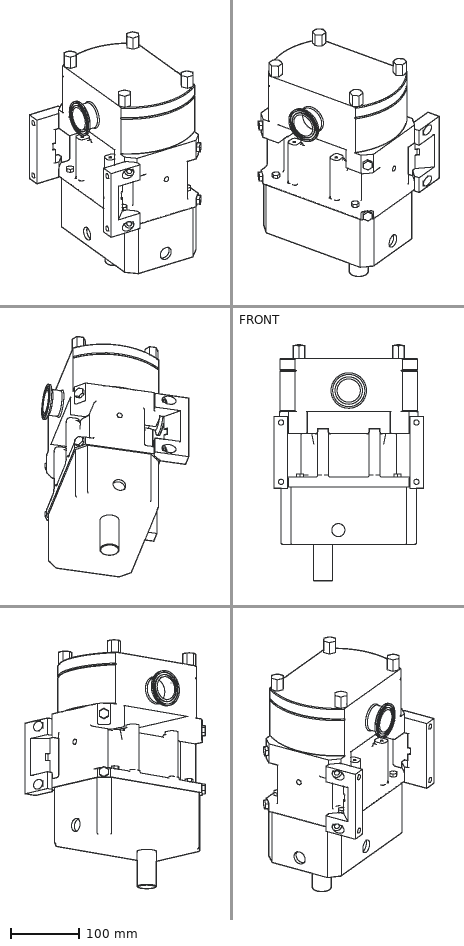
import cadquery as cq
import math

GEARBOX_BOTTOM = 53.3
HOUSING_BOTTOM = 137.8
LEDGE_Z = 152.0
DECK_Z = 216.0
RIB_TOP = 223.0
CASE_BOTTOM = 248.0
COVER_BOTTOM = 307.8
COVER_TOP = 325.8
NUT_TOP = 346.2

CASE_HALF_X = 101.0
CASE_FLAT_HALF_X = 78.5
CASE_EDGE = 1.5
BODY_HALF_Y = 129.0 / 2
HOUSING_HALF_X = 101.5
HOUSING_CORNER = 13.0
GEARBOX_HALF_X = 99.5
GEARBOX_HALF_Y = 62.5
GEARBOX_CORNER = 15.0
GEARBOX_EDGE_ROUND = 3.0

SHAFT_X = 37.7
BARREL_RADIUS = 50.0
POCKET_WALL_Y = 38.0
PANEL_TOP_Y = 47.0
PANEL_BOTTOM_Y = 51.0
GAP_HALF_X = 60.5
RIB_WIDTH = 16.0
RIB_LENGTH = 18.0
RIB_CORNER = 5.5
RIB_HOLE_RADIUS = 1.7
RIB_HOLE_DEPTH = 7.0
POCKET_ROUND = 2.95
DECK_ROUND = 2.0
POST_ROUND = 1.0

SHAFT_RADIUS = 28.0 / 2
SHAFT_CHAMFER = 1.0

NUT_X = 72.7
NUT_Y = 54.7
NUT_FLATS = 17.3
NUT_DOME_HEIGHT = 2.0
LEDGE_BOLT_X = 71.3
LEDGE_BOLT_Y = 55.7
LEDGE_BOLT_FLATS = 10.0
LEDGE_BOLT_HEIGHT = 5.0
CORNER_BOLT_FLATS = 13.0
CORNER_BOLT_HEIGHT = 4.5

PORT_Z = 278.7
PORT_END_Y = 87.0
PORT_BORE_RADIUS = 17.0
PORT_TUBE_RADIUS = 19.0
PORT_COLLAR_RADIUS = 20.5
PORT_COLLAR_LENGTH = 2.5
FERRULE_RADIUS = 26.0
FERRULE_RIM = 2.8
FERRULE_TAPER = 2.0
FERRULE_NECK_RADIUS = 20.8
FERRULE_NECK = 1.5
GROOVE_INNER_RADIUS = 20.0
GROOVE_OUTER_RADIUS = 23.5
GROOVE_DEPTH = 1.5

FOOT_OUTER_X = 219.0 / 2
FOOT_INNER_X = 89.3
FOOT_FRONT_Y = 102.0
FOOT_BOTTOM = 135.5
FOOT_TOP = 241.0
WINDOW_BOTTOM = 160.5
WINDOW_TOP = 216.0
WINDOW_FRONT_Y = 89.5
NOTCH_DEPTH = 4.5
NOTCH_BOTTOM = 183.0
NOTCH_TOP = 193.2
FOOT_BOLT_HEIGHTS = (145.0, 232.0)
FOOT_HOLE_X = 99.0
FOOT_HOLE_RADIUS = 3.8
FOOT_HOLE_DEPTH = 14.0
COUNTERBORE_RADIUS = 14.2 / 2
COUNTERBORE_FLOOR = 12.8
FOOT_BOLT_HOLE_RADIUS = 7.3 / 2

GEARBOX_PLUG_Z = 74.5
GEARBOX_PLUG_X = -15.2
GEARBOX_PLUG_RADIUS = 19.0 / 2
GEARBOX_PLUG_DEPTH = 5.5
SIDE_HOLE_Z = 198.5
SIDE_HOLE_RADIUS = 3.8
SIDE_HOLE_DEPTH = 10.5
DRILL_POINT_ANGLE = math.radians(59)

TOLERANCE = 0.05
SIDES = (-1, 1)
CORNERS = [(sx, sy) for sx in SIDES for sy in SIDES]


def prism(sketch, bottom, top):
    """Extrude an XY outline between two heights."""
    return sketch.extrude(top - bottom).translate((0, 0, bottom))


def block(x0, x1, y0, y1, z0, z1):
    return cq.Workplane("XY").box(x1 - x0, y1 - y0, z1 - z0, centered=False).translate((x0, y0, z0))


def hex_prism(flats, height):
    """Hexagon standing on Z = 0 with two flats facing +X and -X."""
    across_corners = flats / math.cos(math.pi / 6)
    return cq.Workplane("XY").polygon(6, across_corners).extrude(height).rotate((0, 0, 0), (0, 0, 1), 30)


def cylinder(start, direction, radius, length):
    return cq.Workplane(cq.Solid.makeCylinder(radius, length, cq.Vector(*start), cq.Vector(*direction)))


def drilled_hole(start, direction, radius, depth):
    """Blind hole that ends in a conical drill point."""
    origin = cq.Vector(*start)
    axis = cq.Vector(*direction)
    point_length = radius / math.tan(DRILL_POINT_ANGLE)
    point = cq.Solid.makeCone(radius, 0, point_length, origin + axis * depth, axis)
    return cylinder(start, direction, radius, depth).union(cq.Workplane(point))


def gearbox():
    outline = cq.Workplane("XY").rect(2 * GEARBOX_HALF_X, 2 * GEARBOX_HALF_Y)
    body = prism(outline, GEARBOX_BOTTOM, HOUSING_BOTTOM).edges("|Z").chamfer(GEARBOX_CORNER)
    body = body.faces("<Z").edges().fillet(GEARBOX_EDGE_ROUND)
    front = (GEARBOX_PLUG_X, -GEARBOX_HALF_Y, GEARBOX_PLUG_Z)
    body = body.cut(cylinder(front, (0, 1, 0), GEARBOX_PLUG_RADIUS, GEARBOX_PLUG_DEPTH))
    for side in SIDES:
        start = (side * GEARBOX_HALF_X, 0, GEARBOX_PLUG_Z)
        body = body.cut(cylinder(start, (-side, 0, 0), GEARBOX_PLUG_RADIUS, GEARBOX_PLUG_DEPTH))
    return body


def drive_shaft():
    shaft = cq.Workplane("XY").center(-SHAFT_X, 0).circle(SHAFT_RADIUS).extrude(GEARBOX_BOTTOM)
    return shaft.faces("<Z").chamfer(SHAFT_CHAMFER)


def housing_block(bottom, top):
    outline = cq.Workplane("XY").rect(2 * HOUSING_HALF_X, 2 * BODY_HALF_Y)
    return prism(outline, bottom, top).edges("|Z").chamfer(HOUSING_CORNER)


def bearing_core():
    """Two bearing barrels with a web between them, trimmed by the two leaning panels."""
    core = block(-SHAFT_X, SHAFT_X, -BODY_HALF_Y, BODY_HALF_Y, LEDGE_Z, DECK_Z)
    for side in SIDES:
        barrel = cq.Workplane("XY").center(side * SHAFT_X, 0).circle(BARREL_RADIUS)
        core = core.union(prism(barrel, LEDGE_Z, DECK_Z))
    panels = (
        cq.Workplane("YZ")
        .polyline(
            [
                (-PANEL_BOTTOM_Y, LEDGE_Z),
                (PANEL_BOTTOM_Y, LEDGE_Z),
                (PANEL_TOP_Y, DECK_Z),
                (-PANEL_TOP_Y, DECK_Z),
            ]
        )
        .close()
        .extrude(HOUSING_HALF_X, both=True)
    )
    core = core.intersect(panels).faces(">Z").edges().fillet(DECK_ROUND)
    wall = block(-HOUSING_HALF_X, HOUSING_HALF_X, -POCKET_WALL_Y, POCKET_WALL_Y, LEDGE_Z, DECK_Z)
    return core.union(wall)


def rib_outline(length):
    """Rectangle that reaches inwards from the middle of a rib's outer face."""
    return cq.Workplane("XY").center(0, -length / 2).rect(RIB_WIDTH, length)


def at_ribs(body):
    """Copies of a body, modelled with the rib's outer face at Y = 0, at all four ribs."""
    copies = cq.Workplane("XY")
    for sx, sy in CORNERS:
        turn = 0 if sy > 0 else 180
        turned = body.rotate((0, 0, 0), (0, 0, 1), turn)
        copies = copies.union(turned.translate((sx * SHAFT_X, sy * BODY_HALF_Y, 0)))
    return copies


def rib_trimmings():
    """Material outside a rib's round corners, and the hole in its top."""
    foot_top = LEDGE_Z + POCKET_ROUND
    outer_corners = prism(rib_outline(RIB_CORNER), foot_top, RIB_TOP)
    all_corners = prism(rib_outline(RIB_LENGTH), DECK_Z + POCKET_ROUND, RIB_TOP)
    rounded = prism(rib_outline(RIB_LENGTH), foot_top, RIB_TOP).edges("|Z").fillet(RIB_CORNER)
    hole = cylinder((0, -RIB_WIDTH / 2, RIB_TOP), (0, 0, -1), RIB_HOLE_RADIUS, RIB_HOLE_DEPTH)
    return outer_corners.union(all_corners).cut(rounded).union(hole)


def edges_where(body, test):
    """Edges whose middle point passes the test."""
    return body.newObject([edge for edge in body.edges().vals() if test(edge.positionAt(0.5))])


def near(value, target):
    return abs(value - target) < TOLERANCE


def on_flat_side(point):
    return near(abs(point.x), HOUSING_HALF_X) or near(abs(point.y), BODY_HALF_Y)


def on_corner_chamfer(point):
    return near(abs(point.x) + abs(point.y), HOUSING_HALF_X + BODY_HALF_Y - HOUSING_CORNER)


def is_pocket_inner_edge(point):
    """Edges around the pocket floors, and where the ribs leave the core."""
    on_floor = near(point.z, LEDGE_Z)
    beside_rib = (
        near(abs(abs(point.x) - SHAFT_X), RIB_WIDTH / 2)
        and LEDGE_Z < point.z < DECK_Z - DECK_ROUND
        and PANEL_TOP_Y - DECK_ROUND < abs(point.y) < PANEL_BOTTOM_Y
    )
    on_outside = on_flat_side(point) or on_corner_chamfer(point)
    return not on_outside and (on_floor or beside_rib)


def is_pocket_rim_edge(point):
    """Outer edges around the pocket openings, from the ledges up to the deck."""
    return on_flat_side(point) and LEDGE_Z - TOLERANCE < point.z < DECK_Z - TOLERANCE


def is_head_rim_edge(point):
    """Lower outer edges of the four posts above the pockets."""
    return on_flat_side(point) and near(point.z, DECK_Z) and abs(point.x) > GAP_HALF_X


def is_post_edge(point):
    """Upright outer edges beside the gap."""
    return near(abs(point.x), GAP_HALF_X) and near(abs(point.y), BODY_HALF_Y)


def bearing_housing():
    base = housing_block(HOUSING_BOTTOM, LEDGE_Z)
    gap = block(-GAP_HALF_X, GAP_HALF_X, -BODY_HALF_Y, BODY_HALF_Y, DECK_Z, CASE_BOTTOM)
    head = housing_block(DECK_Z, CASE_BOTTOM).cut(gap)
    head = edges_where(head, is_post_edge).fillet(POST_ROUND)
    ribs = at_ribs(prism(rib_outline(RIB_LENGTH), LEDGE_Z, RIB_TOP))
    body = base.union(bearing_core()).union(head).union(ribs)

    body = edges_where(body, is_pocket_inner_edge).fillet(POCKET_ROUND)
    body = edges_where(body, is_pocket_rim_edge).fillet(POCKET_ROUND)
    body = edges_where(body, is_head_rim_edge).fillet(DECK_ROUND)
    body = body.cut(at_ribs(rib_trimmings()))
    for side in SIDES:
        start = (side * HOUSING_HALF_X, 0, SIDE_HOLE_Z)
        body = body.cut(drilled_hole(start, (-side, 0, 0), SIDE_HOLE_RADIUS, SIDE_HOLE_DEPTH))
    return body


def ledge_bolts():
    bolts = cq.Workplane("XY")
    for sx, sy in CORNERS:
        position = (sx * LEDGE_BOLT_X, sy * LEDGE_BOLT_Y, LEDGE_Z)
        bolts = bolts.union(hex_prism(LEDGE_BOLT_FLATS, LEDGE_BOLT_HEIGHT).translate(position))
    return bolts


def case_section(bottom, top):
    """Plate with flat front and back and bowed ends; only the edges of the ends are broken."""
    outline = (
        cq.Workplane("XY")
        .moveTo(-CASE_FLAT_HALF_X, -BODY_HALF_Y)
        .lineTo(CASE_FLAT_HALF_X, -BODY_HALF_Y)
        .threePointArc((CASE_HALF_X, 0), (CASE_FLAT_HALF_X, BODY_HALF_Y))
        .lineTo(-CASE_FLAT_HALF_X, BODY_HALF_Y)
        .threePointArc((-CASE_HALF_X, 0), (-CASE_FLAT_HALF_X, -BODY_HALF_Y))
        .close()
    )
    return prism(outline, bottom, top).edges("%CIRCLE").chamfer(CASE_EDGE)


def cover_nuts():
    height = NUT_TOP - COVER_TOP
    corner_radius = NUT_FLATS / math.sqrt(3)
    dome = (
        cq.Workplane("XZ")
        .lineTo(corner_radius, 0)
        .lineTo(corner_radius, height - NUT_DOME_HEIGHT)
        .lineTo(0, height)
        .close()
        .revolve(360, (0, 0, 0), (0, 1, 0))
    )
    nut = hex_prism(NUT_FLATS, height).intersect(dome)
    nuts = cq.Workplane("XY")
    for sx, sy in CORNERS:
        nuts = nuts.union(nut.translate((sx * NUT_X, sy * NUT_Y, COVER_TOP)))
    return nuts


def add_ports(body):
    rim_y = PORT_END_Y - FERRULE_RIM
    neck_y = rim_y - FERRULE_TAPER
    collar_y = BODY_HALF_Y + PORT_COLLAR_LENGTH
    floor_y = PORT_END_Y - GROOVE_DEPTH
    half_section = [
        (PORT_BORE_RADIUS, BODY_HALF_Y),
        (PORT_COLLAR_RADIUS, BODY_HALF_Y),
        (PORT_TUBE_RADIUS, collar_y),
        (PORT_TUBE_RADIUS, neck_y - FERRULE_NECK),
        (FERRULE_NECK_RADIUS, neck_y),
        (FERRULE_RADIUS, rim_y),
        (FERRULE_RADIUS, PORT_END_Y),
        (GROOVE_OUTER_RADIUS, PORT_END_Y),
        (GROOVE_OUTER_RADIUS, floor_y),
        (GROOVE_INNER_RADIUS, floor_y),
        (GROOVE_INNER_RADIUS, PORT_END_Y),
        (PORT_BORE_RADIUS, PORT_END_Y),
    ]
    port = cq.Workplane("XY").polyline(half_section).close().revolve(360, (0, 0, 0), (0, 1, 0))
    for turn in (0, 180):
        body = body.union(port.rotate((0, 0, 0), (0, 0, 1), turn).translate((0, 0, PORT_Z)))
    return body


def corner_frame(side_y, height):
    """Point in the middle of the +X chamfer of the housing, and the unit vector pointing out of it."""
    inset = HOUSING_CORNER / 2
    point = cq.Vector(HOUSING_HALF_X - inset, side_y * (BODY_HALF_Y - inset), height)
    return point, cq.Vector(1, side_y, 0).normalized()


def foot():
    """The +X foot, seated on the front corner chamfer of the housing."""
    seat_y = BODY_HALF_Y - HOUSING_CORNER
    seat_end_y = seat_y + HOUSING_HALF_X - FOOT_INNER_X
    outline = cq.Workplane("XY").polyline(
        [
            (FOOT_OUTER_X, -seat_y),
            (HOUSING_HALF_X, -seat_y),
            (FOOT_INNER_X, -seat_end_y),
            (FOOT_INNER_X, -FOOT_FRONT_Y),
            (FOOT_OUTER_X, -FOOT_FRONT_Y),
        ]
    )
    body = prism(outline.close(), FOOT_BOTTOM, FOOT_TOP)

    tip_y = WINDOW_FRONT_Y - (FOOT_OUTER_X - FOOT_INNER_X)
    window = cq.Workplane("XY").polyline(
        [
            (FOOT_INNER_X, 0),
            (FOOT_INNER_X, -tip_y),
            (FOOT_OUTER_X, -WINDOW_FRONT_Y),
            (FOOT_OUTER_X, 0),
        ]
    )
    body = body.cut(prism(window.close(), WINDOW_BOTTOM, WINDOW_TOP))
    notch_y = tip_y + NOTCH_DEPTH
    body = body.cut(block(FOOT_INNER_X, FOOT_OUTER_X, -notch_y, -tip_y, NOTCH_BOTTOM, NOTCH_TOP))

    for height in FOOT_BOLT_HEIGHTS:
        front = (FOOT_HOLE_X, -FOOT_FRONT_Y, height)
        body = body.cut(drilled_hole(front, (0, 1, 0), FOOT_HOLE_RADIUS, FOOT_HOLE_DEPTH))
        seat, outward = corner_frame(-1, height)
        floor = seat + outward * COUNTERBORE_FLOOR
        body = body.cut(cylinder(floor.toTuple(), outward.toTuple(), COUNTERBORE_RADIUS, FOOT_OUTER_X))
        body = body.cut(cylinder(seat.toTuple(), outward.toTuple(), FOOT_BOLT_HOLE_RADIUS, COUNTERBORE_FLOOR))
    return body


def corner_bolts():
    """Hexagon heads on the +X back corner chamfer of the housing."""
    bolts = cq.Workplane("XY")
    for height in FOOT_BOLT_HEIGHTS:
        seat, outward = corner_frame(1, height)
        plane = cq.Plane(origin=seat, xDir=(0, 0, 1), normal=outward)
        across_corners = CORNER_BOLT_FLATS / math.cos(math.pi / 6)
        bolts = bolts.union(cq.Workplane(plane).polygon(6, across_corners).extrude(CORNER_BOLT_HEIGHT))
    return bolts


result = gearbox().union(drive_shaft()).union(bearing_housing()).union(ledge_bolts())
result = result.union(case_section(CASE_BOTTOM, COVER_BOTTOM)).union(case_section(COVER_BOTTOM, COVER_TOP))
result = add_ports(result.union(cover_nuts()))
mounting = foot().union(corner_bolts())
result = result.union(mounting).union(mounting.mirror("YZ"))